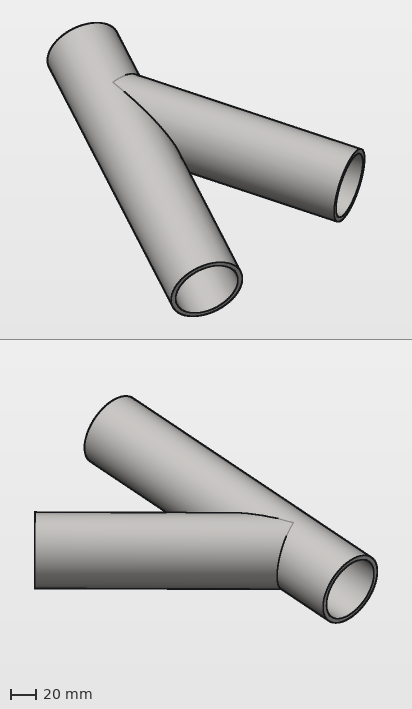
import cadquery as cq
import math

outer_diameter = 60.3
bore_diameter = 52.5
main_length = 266.7
branch_length = 203.2
branch_angle = 45.0
junction_x = 63.7

branch_direction = cq.Vector(
    math.cos(math.radians(branch_angle)),
    math.sin(math.radians(branch_angle)),
    0,
)


def pipe_pair(diameter):
    """Both pipes as solid cylinders of one diameter, joined at the axis crossing."""
    radius = diameter / 2
    main = cq.Solid.makeCylinder(radius, main_length, cq.Vector(0, 0, 0), cq.Vector(1, 0, 0))
    branch = cq.Solid.makeCylinder(
        radius, branch_length, cq.Vector(junction_x, 0, 0), branch_direction
    )
    return cq.Workplane(obj=main).union(cq.Workplane(obj=branch))


result = pipe_pair(outer_diameter).cut(pipe_pair(bore_diameter))